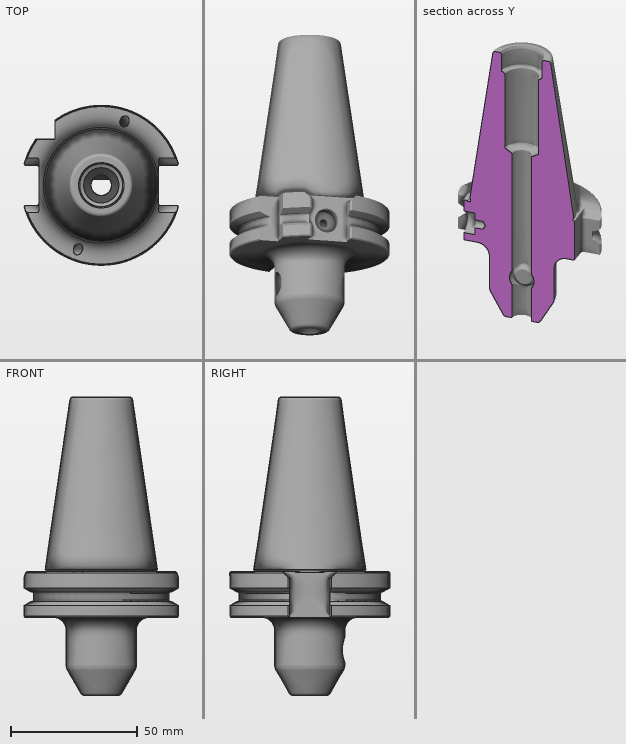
import cadquery as cq
import math


TOTAL_LENGTH = 118.2

GAUGE_RADIUS = 22.2
TAPER_LENGTH = 68.2
TAPER_SLOPE = 7 / 48
TAPER_TOP_RADIUS = GAUGE_RADIUS - TAPER_LENGTH * TAPER_SLOPE
TAPER_TOP_FILLET = 1.4

RELIEF_INNER_RADIUS = 21.9
RELIEF_OUTER_RADIUS = 22.9
RELIEF_DEPTH = 0.4
GAUGE_EDGE_BEVEL = 0.4

FLANGE_RADIUS = 31.7
FLANGE_TOP = -1.0
FLANGE_BOTTOM = -19.0
FLANGE_EDGE = 0.5
GRIP_RADIUS = 28.0
GRIP_MIDDLE = -10.9
GRIP_MOUTH = 7.1
GRIP_FLOOR = 3.9
GRIP_FLOOR_FILLET = 0.6
GRIP_ANGLE = math.radians(30)

NOSE_RADIUS = 27.8 / 2
NOSE_BOTTOM = TAPER_LENGTH - TOTAL_LENGTH
NOSE_ROOT_FILLET = 5.1
NOSE_CONE_HEIGHT = 11.0
NOSE_CONE_ANGLE = math.radians(30)
NOSE_TIP_RADIUS = NOSE_RADIUS - NOSE_CONE_HEIGHT * math.tan(NOSE_CONE_ANGLE)
NOSE_SHOULDER_FILLET = 3.5
NOSE_TIP_FILLET = 1.9

DRILL_TIP_ANGLE = math.radians(59)
TOOL_BORE_RADIUS = 4.0
THREAD_BORE_RADIUS = 7.0
THREAD_BORE_DEPTH = 42.6
PILOT_RADIUS = 8.5
PILOT_DEPTH = 8.3
PILOT_MOUTH_CHAMFER = 0.5
PILOT_MOUTH_DEPTH = 1.2

KEYWAY_HALF_WIDTH = 7.9
KEYWAY_FLOORS = {-1: 24.7, 1: 22.6}
KEYWAY_FLOOR_FILLET = 0.7
KEYWAY_TOP_CHAMFER = 2.8
KEYWAY_RIM_CHAMFER_START = 30.2
KEYWAY_RIM_CHAMFER_DEPTH = 0.4
KEYWAY_RIM_CHAMFER_WIDTH = 0.7

NOTCH_X = -18.3
NOTCH_Y = 18.3

POCKET_RADIUS = 4.7
POCKET_MOUTH_CHAMFER = 0.2
POCKET_DEPTH = 4.6
POCKET_Z = GRIP_MIDDLE
CENTRE_RADIUS = 1.7
CENTRE_DEPTH = 3.5

DUCT_RADIUS = 1.8
DUCT_CIRCLE = 27.0
DUCT_DIRECTION = 70
DUCT_TILT = 38

SCREW_RADIUS = 5.1
SCREW_Z = -31.9
SCREW_TIP_Y = 2.2
SCREW_HEAD_Y = 12.4
SCREW_TIP_CHAMFER = 1.8

CLEARANCE = 1.2
FAR = 2 * FLANGE_RADIUS


def revolve(profile):
    """Close a half profile in the XZ plane and turn it around Z."""
    return profile.close().revolve(360, (0, 0, 0), (0, 1, 0))


def make_taper():
    base = FLANGE_TOP - RELIEF_DEPTH
    taper = revolve(
        cq.Workplane("XZ")
        .moveTo(0, base)
        .lineTo(RELIEF_INNER_RADIUS, base)
        .lineTo(RELIEF_INNER_RADIUS, -GAUGE_EDGE_BEVEL)
        .lineTo(GAUGE_RADIUS, 0)
        .lineTo(TAPER_TOP_RADIUS, TAPER_LENGTH)
        .lineTo(0, TAPER_LENGTH)
    )
    return taper.faces(">Z").edges().fillet(TAPER_TOP_FILLET)


def make_flange():
    """Flange with a grip groove whose sloped flanks end in narrow flat ledges."""
    half_mouth = GRIP_MOUTH / 2
    half_floor = GRIP_FLOOR / 2
    ledge_radius = FLANGE_RADIUS - (half_mouth - half_floor) / math.tan(GRIP_ANGLE)
    relief_floor = FLANGE_TOP - RELIEF_DEPTH
    flange = revolve(
        cq.Workplane("XZ")
        .moveTo(0, FLANGE_BOTTOM)
        .lineTo(FLANGE_RADIUS - FLANGE_EDGE, FLANGE_BOTTOM)
        .lineTo(FLANGE_RADIUS, FLANGE_BOTTOM + FLANGE_EDGE)
        .lineTo(FLANGE_RADIUS, GRIP_MIDDLE - half_mouth)
        .lineTo(ledge_radius, GRIP_MIDDLE - half_floor)
        .lineTo(GRIP_RADIUS, GRIP_MIDDLE - half_floor)
        .lineTo(GRIP_RADIUS, GRIP_MIDDLE + half_floor)
        .lineTo(ledge_radius, GRIP_MIDDLE + half_floor)
        .lineTo(FLANGE_RADIUS, GRIP_MIDDLE + half_mouth)
        .lineTo(FLANGE_RADIUS, FLANGE_TOP - FLANGE_EDGE)
        .lineTo(FLANGE_RADIUS - FLANGE_EDGE, FLANGE_TOP)
        .lineTo(RELIEF_OUTER_RADIUS, FLANGE_TOP)
        .lineTo(RELIEF_OUTER_RADIUS, relief_floor)
        .lineTo(0, relief_floor)
    )
    grip_floor = cq.NearestToPointSelector((GRIP_RADIUS, 0, GRIP_MIDDLE))
    floor_circles = flange.faces("%CYLINDER").faces(grip_floor).edges("%CIRCLE")
    return floor_circles.fillet(GRIP_FLOOR_FILLET)


def make_nose():
    cone_top = NOSE_BOTTOM + NOSE_CONE_HEIGHT
    root = NOSE_RADIUS + NOSE_ROOT_FILLET
    arc_offset = NOSE_ROOT_FILLET * (1 - math.sqrt(0.5))
    nose = revolve(
        cq.Workplane("XZ")
        .moveTo(0, NOSE_BOTTOM)
        .lineTo(NOSE_TIP_RADIUS, NOSE_BOTTOM)
        .lineTo(NOSE_RADIUS, cone_top)
        .lineTo(NOSE_RADIUS, FLANGE_BOTTOM - NOSE_ROOT_FILLET)
        .threePointArc((NOSE_RADIUS + arc_offset, FLANGE_BOTTOM - arc_offset), (root, FLANGE_BOTTOM))
        .lineTo(0, FLANGE_BOTTOM)
    )
    shoulder = cq.NearestToPointSelector((0, 0, cone_top))
    nose = nose.edges(shoulder).fillet(NOSE_SHOULDER_FILLET)
    return nose.faces("<Z").edges().fillet(NOSE_TIP_FILLET)


def make_bore():
    """Stepped bore: pilot and threaded bore from the taper end, tool bore from the nose."""
    pilot_floor = TAPER_LENGTH - PILOT_DEPTH
    pilot_step = (PILOT_RADIUS - THREAD_BORE_RADIUS) / math.tan(DRILL_TIP_ANGLE)
    thread_floor = TAPER_LENGTH - THREAD_BORE_DEPTH
    drill_tip = (THREAD_BORE_RADIUS - TOOL_BORE_RADIUS) / math.tan(DRILL_TIP_ANGLE)
    return revolve(
        cq.Workplane("XZ")
        .moveTo(0, NOSE_BOTTOM)
        .lineTo(TOOL_BORE_RADIUS, NOSE_BOTTOM)
        .lineTo(TOOL_BORE_RADIUS, thread_floor - drill_tip)
        .lineTo(THREAD_BORE_RADIUS, thread_floor)
        .lineTo(THREAD_BORE_RADIUS, pilot_floor - pilot_step)
        .lineTo(PILOT_RADIUS, pilot_floor)
        .lineTo(PILOT_RADIUS, TAPER_LENGTH - PILOT_MOUTH_DEPTH)
        .lineTo(PILOT_RADIUS + PILOT_MOUTH_CHAMFER, TAPER_LENGTH)
        .lineTo(0, TAPER_LENGTH)
    )


def make_keyway(side, floor):
    """Slot through the flange rim: chamfered top edges, flared mouth, filleted floor."""
    height = FLANGE_TOP - FLANGE_BOTTOM
    wall_top = FLANGE_TOP - KEYWAY_TOP_CHAMFER
    wide = KEYWAY_HALF_WIDTH + KEYWAY_TOP_CHAMFER
    slot = (
        cq.Workplane("YZ", origin=(floor, 0, 0))
        .moveTo(-KEYWAY_HALF_WIDTH, FLANGE_BOTTOM)
        .lineTo(KEYWAY_HALF_WIDTH, FLANGE_BOTTOM)
        .lineTo(KEYWAY_HALF_WIDTH, wall_top)
        .lineTo(wide, FLANGE_TOP)
        .lineTo(-wide, FLANGE_TOP)
        .lineTo(-KEYWAY_HALF_WIDTH, wall_top)
        .close()
        .extrude(FLANGE_RADIUS)
    )
    floor_edges = slot.faces("<X").edges("not |Y")
    slot = floor_edges.fillet(KEYWAY_FLOOR_FILLET)

    flare_end = KEYWAY_RIM_CHAMFER_START + KEYWAY_RIM_CHAMFER_DEPTH
    flare_width = KEYWAY_HALF_WIDTH + KEYWAY_RIM_CHAMFER_WIDTH
    flare = (
        cq.Workplane("XY", origin=(0, 0, FLANGE_BOTTOM))
        .moveTo(KEYWAY_RIM_CHAMFER_START, -KEYWAY_HALF_WIDTH)
        .lineTo(flare_end, -flare_width)
        .lineTo(FLANGE_RADIUS, -flare_width)
        .lineTo(FLANGE_RADIUS, flare_width)
        .lineTo(flare_end, flare_width)
        .lineTo(KEYWAY_RIM_CHAMFER_START, KEYWAY_HALF_WIDTH)
        .close()
        .extrude(height)
    )
    keyway = slot.union(flare)
    return keyway.mirror("YZ") if side < 0 else keyway


def make_notch():
    height = FLANGE_TOP - FLANGE_BOTTOM
    return cq.Workplane("XY").box(FAR, FAR, height, centered=False).translate(
        (NOTCH_X - FAR, NOTCH_Y, FLANGE_BOTTOM)
    )


def make_keyway_pocket():
    """Round pocket along X with a pointed centre hole in its floor."""
    mouth = -KEYWAY_FLOORS[-1]
    pocket_floor = mouth + POCKET_DEPTH
    centre_end = pocket_floor + CENTRE_DEPTH
    centre_point = centre_end + CENTRE_RADIUS / math.tan(DRILL_TIP_ANGLE)
    profile = (
        cq.Workplane("XY", origin=(0, 0, POCKET_Z))
        .moveTo(mouth, 0)
        .lineTo(mouth, POCKET_RADIUS + POCKET_MOUTH_CHAMFER)
        .lineTo(mouth + POCKET_MOUTH_CHAMFER, POCKET_RADIUS)
        .lineTo(pocket_floor, POCKET_RADIUS)
        .lineTo(pocket_floor, CENTRE_RADIUS)
        .lineTo(centre_end, CENTRE_RADIUS)
        .lineTo(centre_point, 0)
        .close()
    )
    return profile.revolve(360, (0, 0, 0), (1, 0, 0))


def make_duct(direction):
    """Slanted hole from the flange top inwards to the tool bore."""
    tilt = math.radians(DUCT_TILT)
    length = DUCT_CIRCLE / math.sin(tilt)
    overshoot = DUCT_RADIUS * math.tan(tilt) + CLEARANCE
    return (
        cq.Workplane("XY")
        .workplane(offset=overshoot)
        .circle(DUCT_RADIUS)
        .extrude(-overshoot - length)
        .rotate((0, 0, 0), (0, 1, 0), DUCT_TILT)
        .translate((DUCT_CIRCLE, 0, FLANGE_TOP))
        .rotate((0, 0, 0), (0, 0, 1), direction)
    )


def screw_cylinder(start_y, end_y):
    """Cylinder along +Y that fits the side-lock screw."""
    plane = cq.Plane(origin=(0, start_y, SCREW_Z), xDir=(1, 0, 0), normal=(0, 1, 0))
    return cq.Workplane(plane).circle(SCREW_RADIUS).extrude(end_y - start_y)


def make_housing():
    housing = make_taper().union(make_flange()).union(make_nose())
    for side, floor in KEYWAY_FLOORS.items():
        housing = housing.cut(make_keyway(side, floor))
    housing = housing.cut(make_notch()).cut(make_keyway_pocket())
    for direction in (DUCT_DIRECTION, DUCT_DIRECTION + 180):
        housing = housing.cut(make_duct(direction))
    housing = housing.cut(screw_cylinder(0, NOSE_RADIUS + CLEARANCE))
    return housing.cut(make_bore()).solids()


def make_screw():
    screw = screw_cylinder(SCREW_TIP_Y, SCREW_HEAD_Y)
    return screw.faces("<Y").chamfer(SCREW_TIP_CHAMFER).solids()


housing = make_housing()
screw = make_screw()

result = cq.Compound.makeCompound([housing.val(), screw.val()])